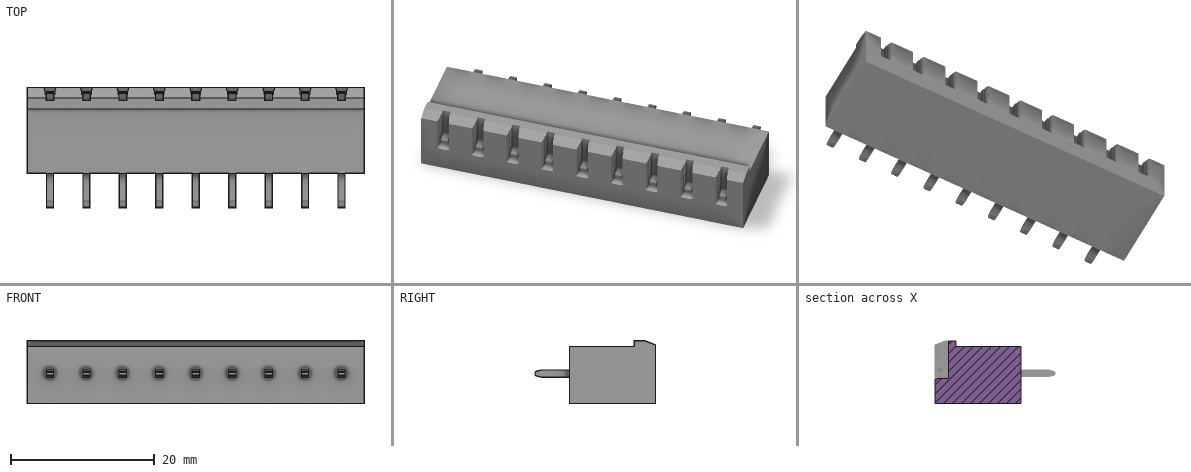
import cadquery as cq

body_length = 47.02
body_depth = 12.0
body_height = 8.0

lip_height = 0.8
lip_depth = 3.0
shoulder_depth = 1.5
shoulder_drop = 0.6
top_z = body_height + lip_height

pin_count = 9
pin_pitch = 5.08
pin_z = 4.2
pin_width = 1.0
pin_thickness = 1.06
pin_front_reach = 4.8
pin_rear_inset = 0.7
taper_length = 0.8
taper_drop = 0.21
tip_chamfer = 0.14

mouth_width = 1.7
bore_width = 1.36
funnel_depth = 0.55
bore_end = 1.0
slot_width = 1.12
slot_end = 1.85

floor_clearance = 0.13
floor_radius = 4.0
floor_flare = 0.22
floor_z = pin_z - pin_thickness / 2 - floor_clearance


def housing():
    """Block with the lip, extruded along X from its side profile."""
    lip_front = body_depth - lip_depth
    shoulder_front = body_depth - shoulder_depth
    profile = [
        (0, 0),
        (body_depth, 0),
        (body_depth, top_z - shoulder_drop),
        (shoulder_front, top_z),
        (lip_front, top_z),
        (lip_front, body_height),
        (0, body_height),
    ]
    return cq.Workplane("YZ").polyline(profile).close().extrude(body_length / 2, both=True)


def arched_floor():
    """Round bar along Y, flared at the back face, whose underside shapes the socket floor."""
    slot_y = body_depth - slot_end
    funnel_y = body_depth - funnel_depth
    profile = [
        (0, slot_y),
        (floor_radius, slot_y),
        (floor_radius, funnel_y),
        (floor_radius + floor_flare, body_depth),
        (0, body_depth),
    ]
    bar = cq.Workplane("XY").polyline(profile).close().revolve(360, (0, 0, 0), (0, 1, 0))
    return bar.translate((0, 0, floor_z + floor_radius))


def socket_cutter():
    """Stepped slot around the rear pin tip, from its arched floor up through the lip."""
    funnel_y = body_depth - funnel_depth
    bore_y = body_depth - bore_end
    slot_y = body_depth - slot_end
    half_mouth = mouth_width / 2
    half_bore = bore_width / 2
    half_slot = slot_width / 2
    right_side = [
        (half_slot, slot_y),
        (half_slot, bore_y),
        (half_bore, bore_y),
        (half_bore, funnel_y),
        (half_mouth, body_depth),
    ]
    left_side = [(-x, y) for x, y in reversed(right_side)]
    slot = cq.Workplane("XY").polyline(right_side + left_side).close().extrude(top_z)
    return slot.intersect(arched_floor())


def pin():
    """Straight flat-sided pin, tapered in thickness and chamfered at both ends."""
    front_y = -pin_front_reach
    rear_y = body_depth - pin_rear_inset
    half = pin_thickness / 2
    neck = half - taper_drop
    tip = neck - tip_chamfer
    taper_end = tip_chamfer + taper_length
    upper_edge = [
        (front_y, tip),
        (front_y + tip_chamfer, neck),
        (front_y + taper_end, half),
        (rear_y - taper_end, half),
        (rear_y - tip_chamfer, neck),
        (rear_y, tip),
    ]
    lower_edge = [(y, -z) for y, z in reversed(upper_edge)]
    return (
        cq.Workplane("YZ", origin=(0, 0, pin_z))
        .polyline(upper_edge + lower_edge)
        .close()
        .extrude(pin_width / 2, both=True)
    )


result = housing()
for index in range(pin_count):
    pin_x = (index - (pin_count - 1) / 2) * pin_pitch
    result = result.cut(socket_cutter().translate((pin_x, 0, 0)))
    result = result.union(pin().translate((pin_x, 0, 0)))